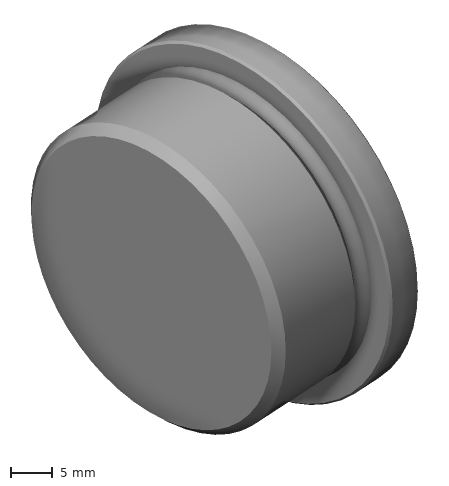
import cadquery as cq

flange_diameter = 49.0
flange_thickness = 5.0
flange_chamfer = 0.3

total_length = 21.0
plug_diameter = 42.0
plug_chamfer = 1.22

cone_length = 1.35

flange_radius = flange_diameter / 2
plug_radius = plug_diameter / 2
chamfered_radius = plug_radius - plug_chamfer
cone_radius = chamfered_radius + cone_length

groove_bottom_y = -cone_length
plug_start_y = groove_bottom_y - plug_chamfer
front_y = flange_thickness - total_length

half_section = [
    (0, front_y),
    (chamfered_radius, front_y),
    (plug_radius, front_y + plug_chamfer),
    (plug_radius, plug_start_y),
    (chamfered_radius, groove_bottom_y),
    (cone_radius, 0),
    (flange_radius - flange_chamfer, 0),
    (flange_radius, flange_chamfer),
    (flange_radius, flange_thickness - flange_chamfer),
    (flange_radius - flange_chamfer, flange_thickness),
    (0, flange_thickness),
]

result = (
    cq.Workplane("XY")
    .polyline(half_section)
    .close()
    .revolve(360, (0, 0, 0), (0, 1, 0))
)